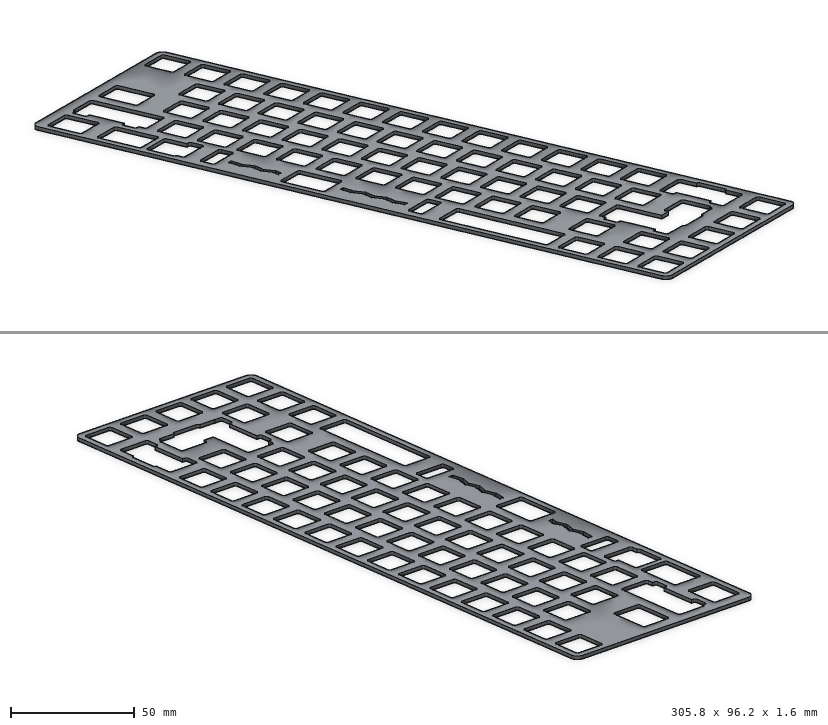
import cadquery as cq

UNIT = 19.05
COLUMNS = 16
ROWS = 5
EDGE_MARGIN = 0.475
PLATE_LENGTH = COLUMNS * UNIT + 2 * EDGE_MARGIN
PLATE_WIDTH = ROWS * UNIT + 2 * EDGE_MARGIN
PLATE_THICKNESS = 1.6
PLATE_CORNER_RADIUS = 3.25

SWITCH_SIZE = 14.0
HALF_SWITCH = SWITCH_SIZE / 2
OPENING_CORNER_RADIUS = 1.0

STABILIZER_WIDTH = 7.0
STABILIZER_SHORT_REACH = 6.0
STABILIZER_LONG_REACH = 9.0
STABILIZER_LENGTH = STABILIZER_SHORT_REACH + STABILIZER_LONG_REACH
STABILIZER_SHIFT = (STABILIZER_LONG_REACH - STABILIZER_SHORT_REACH) / 2
SHORT_KEY_SPREAD = 11.9
SPACE_6U_SPREAD = 50.0
SPACE_7U_SPREAD = 57.15

ZIGZAG_STEP = 5.05
ZIGZAG_AMPLITUDE = 0.75
ZIGZAG_SLOT_WIDTH = 2.0
ZIGZAG_DROP = 0.15
LEFT_ZIGZAG_START = -64.1
LEFT_ZIGZAG_BENDS = 4
LEFT_ZIGZAG_FIRST_END = 6.0
LEFT_ZIGZAG_LAST_END = 2.9
RIGHT_ZIGZAG_START = -10.2
RIGHT_ZIGZAG_BENDS = 5
RIGHT_ZIGZAG_END = 5.3

NUMBER_ROW, UPPER_ROW, HOME_ROW, LOWER_ROW, SPACE_ROW = range(ROWS)
EDGE_COLUMN = COLUMNS - 0.5
PLAIN_KEYS = {
    NUMBER_ROW: [0.5 + i for i in range(13)] + [EDGE_COLUMN],
    UPPER_ROW: [2.0 + i for i in range(12)] + [EDGE_COLUMN],
    HOME_ROW: [2.25 + i for i in range(11)] + [EDGE_COLUMN],
    LOWER_ROW: [2.75 + i for i in range(10)] + [13.125, 14.5, EDGE_COLUMN],
    SPACE_ROW: [13.5, 14.5, EDGE_COLUMN],
}

WIDE_KEYS = [
    (HOME_ROW, 0.625, 0.875),
    (SPACE_ROW, 0.625, 0.75),
    (SPACE_ROW, 1.875, 2.25),
    (SPACE_ROW, 6.5, 6.875),
    (SPACE_ROW, 10.5, 12.5),
]

BACKSPACE = 14.0
BACKSLASH = 14.25
ISO_ENTER = 14.375
ANSI_ENTER = 13.875
ISO_HASH = 13.25
SHORT_SHIFT = 0.625
LONG_SHIFT = 1.125
ISO_EXTRA = 1.75
LEFT_ALT = 3.125
SPACE_6U = 6.875
SPACE_7U = 6.5


def key_x(column):
    return (column - COLUMNS / 2) * UNIT


def key_y(row):
    return ((ROWS - 1) / 2 - row) * UNIT


def box(x_min, x_max, y_min, y_max):
    """Cutter with rounded corners through the whole plate thickness."""
    size_x = x_max - x_min
    size_y = y_max - y_min
    return (
        cq.Workplane("XY")
        .center((x_min + x_max) / 2, (y_min + y_max) / 2)
        .rect(size_x, size_y)
        .extrude(PLATE_THICKNESS)
        .edges("|Z")
        .fillet(OPENING_CORNER_RADIUS)
    )


def key_span(row, first, last):
    """Switch opening stretched from one key centre to another."""
    y = key_y(row)
    return box(key_x(first) - HALF_SWITCH, key_x(last) + HALF_SWITCH, y - HALF_SWITCH, y + HALF_SWITCH)


def stabilizer_slot(x, y, direction):
    """Upright slot whose long reach points up (direction 1) or down (direction -1)."""
    middle = y + direction * STABILIZER_SHIFT
    half_width = STABILIZER_WIDTH / 2
    half_length = STABILIZER_LENGTH / 2
    return box(x - half_width, x + half_width, middle - half_length, middle + half_length)


def stabilizer_pair(row, column):
    """Two downward slots joined across the key by a channel."""
    x = key_x(column)
    y = key_y(row)
    left = x - SHORT_KEY_SPREAD
    right = x + SHORT_KEY_SPREAD
    channel = box(left, right, y - HALF_SWITCH, y + STABILIZER_SHORT_REACH)
    return channel.union(stabilizer_slot(left, y, -1)).union(stabilizer_slot(right, y, -1))


def backspace_opening():
    return key_span(NUMBER_ROW, BACKSPACE, BACKSPACE).union(stabilizer_pair(NUMBER_ROW, BACKSPACE))


def left_shift_opening():
    return key_span(LOWER_ROW, SHORT_SHIFT, ISO_EXTRA).union(stabilizer_pair(LOWER_ROW, LONG_SHIFT))


def enter_opening():
    """Opening shared by the flat enter key and the tall two-row enter key."""
    x = key_x(ISO_ENTER)
    y = (key_y(UPPER_ROW) + key_y(HOME_ROW)) / 2
    half_span = SHORT_KEY_SPREAD + STABILIZER_WIDTH / 2
    tall_switch = box(x - HALF_SWITCH, x + HALF_SWITCH, y - HALF_SWITCH, y + HALF_SWITCH)
    tall_channel = box(x - HALF_SWITCH, x + STABILIZER_SHORT_REACH, y - half_span, y + half_span)
    flat_enter = key_span(HOME_ROW, ISO_HASH, ANSI_ENTER).union(stabilizer_pair(HOME_ROW, ANSI_ENTER))
    backslash = key_span(UPPER_ROW, BACKSLASH, BACKSLASH)
    return flat_enter.union(backslash).union(tall_switch).union(tall_channel)


def left_alt_opening():
    slot = stabilizer_slot(key_x(SPACE_7U) - SPACE_7U_SPREAD, key_y(SPACE_ROW), 1)
    return key_span(SPACE_ROW, LEFT_ALT, LEFT_ALT).union(slot)


def zigzag_slot(x_start, bends, first_end, last_end):
    """Slot whose centre line bends down and up in turn, starting with a downward bend."""
    y = key_y(SPACE_ROW) - ZIGZAG_DROP
    first_bend = x_start + first_end
    last_bend = first_bend + (bends - 1) * ZIGZAG_STEP
    line = [(x_start, y)]
    for i in range(bends):
        line.append((first_bend + i * ZIGZAG_STEP, y - ZIGZAG_AMPLITUDE * (-1) ** i))
    line.append((last_bend + last_end, y))
    half_width = ZIGZAG_SLOT_WIDTH / 2
    upper = [(px, py + half_width) for px, py in line]
    lower = [(px, py - half_width) for px, py in reversed(line)]
    return cq.Workplane("XY").polyline(upper + lower).close().extrude(PLATE_THICKNESS)


openings = []
for row, columns in PLAIN_KEYS.items():
    for column in columns:
        openings.append(key_span(row, column, column))
for row, first, last in WIDE_KEYS:
    openings.append(key_span(row, first, last))
for special in (backspace_opening, left_shift_opening, enter_opening, left_alt_opening):
    openings.append(special())
for side in (-1, 1):
    slot_x = key_x(SPACE_6U) + side * SPACE_6U_SPREAD
    openings.append(stabilizer_slot(slot_x, key_y(SPACE_ROW), 1))
openings.append(
    zigzag_slot(LEFT_ZIGZAG_START, LEFT_ZIGZAG_BENDS, LEFT_ZIGZAG_FIRST_END, LEFT_ZIGZAG_LAST_END)
)
openings.append(
    zigzag_slot(RIGHT_ZIGZAG_START, RIGHT_ZIGZAG_BENDS, RIGHT_ZIGZAG_END, RIGHT_ZIGZAG_END)
)

result = (
    cq.Workplane("XY")
    .rect(PLATE_LENGTH, PLATE_WIDTH)
    .extrude(PLATE_THICKNESS)
    .edges("|Z")
    .fillet(PLATE_CORNER_RADIUS)
)
for opening in openings:
    result = result.cut(opening)